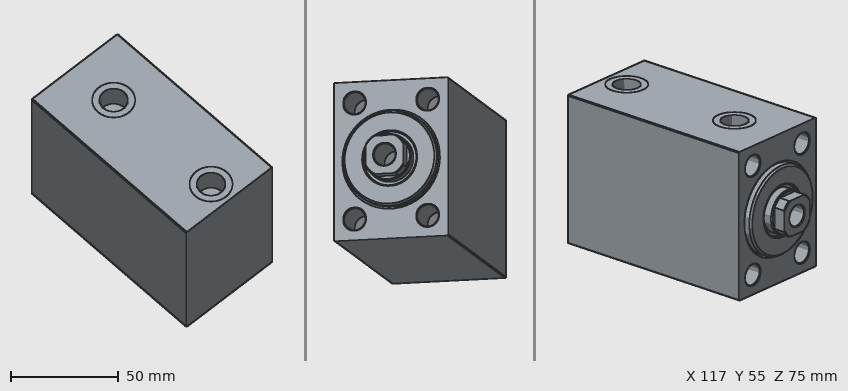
import cadquery as cq
import math


total_length = 117.0
housing_length = 105.0
housing_width = 55.0
housing_height = 75.0
edge_chamfer = 0.5

gland_radius = 22.5
gland_protrusion = 3.0
gland_depth = 19.9
gland_chamfer_length = 1.0
gland_chamfer_radial = 0.9
gland_mouth_chamfer = 1.0
wiper_recess_radius = 12.8
wiper_recess_depth = 2.0
wiper_step_radius = 13.2
wiper_step_depth = 0.5

rod_radius = 11.0
rod_tip = total_length - housing_length
rod_shoulder = 6.1
rod_chamfer_length = 0.7
rod_chamfer_radial = 0.5
rod_inner_end = 100.0
wrench_radius = rod_radius - rod_chamfer_radial
wrench_tip_chamfer = 0.4
wrench_across_flats = 18.1
rod_hole_depth = 19.9

thread_radius = 5.1
thread_chamfer = 0.41
mount_spacing_y = 35.1
mount_spacing_z = 55.0
mount_hole_depth = 19.9
drill_tip_angle = 118.0

port_positions = [26.5, 92.5]
port_diameter = 13.2
port_depth = 12.0
port_spot_diameter = 20.0
port_spot_depth = 0.06
port_passage_radius = 2.0


def revolve_about_x(profile):
    """Solid of revolution about the X axis from (x, radius) points."""
    return cq.Workplane("XZ").polyline(profile).close().revolve(360, (0, 0, 0), (1, 0, 0))


def threaded_hole(front_x, depth):
    """Cutter for a chamfered blind hole along +X with a conical drill tip."""
    tip_length = thread_radius / math.tan(math.radians(drill_tip_angle / 2))
    return revolve_about_x([
        (front_x, 0),
        (front_x, thread_radius + thread_chamfer),
        (front_x + thread_chamfer, thread_radius),
        (front_x + depth, thread_radius),
        (front_x + depth + tip_length, 0),
    ])


def port_cutter(x):
    """Cutter for one oil port: spot face, port bore and passage to the rod bore."""
    top = cq.Workplane("XY", origin=(x, 0, housing_height / 2))
    spot_face = top.circle(port_spot_diameter / 2).extrude(-port_spot_depth)
    port_bore = top.circle(port_diameter / 2).extrude(-port_depth)
    passage = top.circle(port_passage_radius).extrude(-housing_height / 2)
    return spot_face.union(port_bore).union(passage)


def make_housing():
    block = cq.Workplane("XY").box(
        housing_length, housing_width, housing_height, centered=(False, True, True)
    )
    block = block.edges("|X").chamfer(edge_chamfer)

    bore = revolve_about_x([
        (0, 0),
        (0, gland_radius + gland_mouth_chamfer),
        (gland_mouth_chamfer, gland_radius),
        (gland_depth, gland_radius),
        (gland_depth, rod_radius),
        (rod_inner_end, rod_radius),
        (rod_inner_end, 0),
    ])
    block = block.cut(bore)

    for y in (-mount_spacing_y / 2, mount_spacing_y / 2):
        for z in (-mount_spacing_z / 2, mount_spacing_z / 2):
            block = block.cut(threaded_hole(0, mount_hole_depth).translate((0, y, z)))

    for x in port_positions:
        block = block.cut(port_cutter(x))
    return block


def make_gland():
    face = -gland_protrusion
    return revolve_about_x([
        (gland_depth, rod_radius),
        (gland_depth, gland_radius),
        (face + gland_chamfer_length, gland_radius),
        (face, gland_radius - gland_chamfer_radial),
        (face, wiper_step_radius),
        (face + wiper_step_depth, wiper_step_radius),
        (face + wiper_step_depth, wiper_recess_radius),
        (face + wiper_recess_depth, wiper_recess_radius),
        (face + wiper_recess_depth, rod_radius),
    ])


def make_rod():
    shaft = revolve_about_x([
        (-rod_shoulder, 0),
        (-rod_shoulder, wrench_radius),
        (-rod_shoulder + rod_chamfer_length, rod_radius),
        (rod_inner_end, rod_radius),
        (rod_inner_end, 0),
    ])

    wrench_length = rod_tip - rod_shoulder
    square = (
        cq.Workplane("YZ", origin=(-rod_tip, 0, 0))
        .rect(wrench_across_flats, wrench_across_flats)
        .extrude(wrench_length)
    )
    round_stub = revolve_about_x([
        (-rod_tip, 0),
        (-rod_tip, wrench_radius - wrench_tip_chamfer),
        (-rod_tip + wrench_tip_chamfer, wrench_radius),
        (-rod_shoulder, wrench_radius),
        (-rod_shoulder, 0),
    ])
    wrench_end = square.intersect(round_stub)

    return shaft.union(wrench_end).cut(threaded_hole(-rod_tip, rod_hole_depth))


housing = make_housing()
gland = make_gland()
rod = make_rod()

result = cq.Compound.makeCompound([housing.val(), gland.val(), rod.val()])